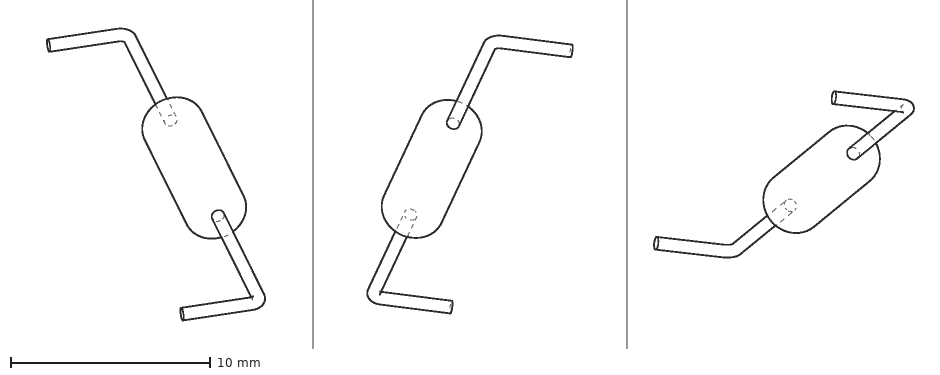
import cadquery as cq

overall_length = 26.05
body_length = 9.01
body_diameter = 3.2
body_edge_radius = 0.52
wire_diameter = 0.65
bend_radius = 0.5
overall_depth = 5.7

leg_reach = overall_depth - body_diameter / 2
leg_x = (overall_length - wire_diameter) / 2
bend_start_x = leg_x - bend_radius


def make_body():
    """Cylinder along X, centred on the origin, with rounded rims."""
    return (
        cq.Workplane("YZ", origin=(-body_length / 2, 0, 0))
        .circle(body_diameter / 2)
        .extrude(body_length)
        .edges("%CIRCLE")
        .fillet(body_edge_radius)
    )


def make_wire():
    """Round wire along X through the body, with both legs bent toward -Y."""
    path = (
        cq.Workplane("XY")
        .moveTo(-leg_x, -leg_reach)
        .lineTo(-leg_x, -bend_radius)
        .radiusArc((-bend_start_x, 0), bend_radius)
        .lineTo(bend_start_x, 0)
        .radiusArc((leg_x, -bend_radius), bend_radius)
        .lineTo(leg_x, -leg_reach)
    )
    return (
        cq.Workplane("XZ", origin=(-leg_x, -leg_reach, 0))
        .circle(wire_diameter / 2)
        .sweep(path)
    )


result = make_body().union(make_wire())